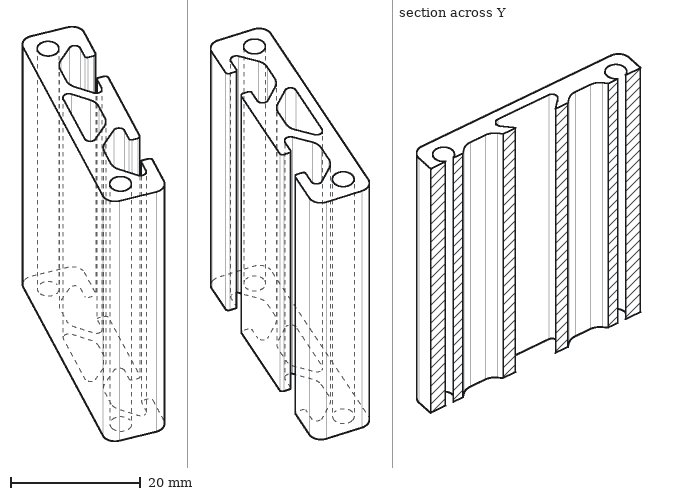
import cadquery as cq

width = 40.0
thickness = 10.0
length = 50.0
corner_radius = 2.0

slot_offset = width / 4
slot_opening = 4.9
lip_thickness = 1.8
lip_outer_radius = 0.5
lip_inner_radius = 0.35

trapezoid_height = 4.55
narrow_half_width = 2.45
wide_half_width = narrow_half_width + trapezoid_height
narrow_corner_radius = 2.5
wide_corner_radius = 0.9

back_wall = 1.8
bore_diameter = 3.35
bore_inset_x = 3.6
bore_inset_y = 3.5

back_y = -thickness / 2
front_y = thickness / 2


def trapezoid_prism(center_x, wide_y, direction):
    """Rounded trapezoid through the full length, narrowing along Y in the given direction (+1 or -1)."""
    narrow_y = wide_y + direction * trapezoid_height
    prism = (
        cq.Workplane("XY")
        .polyline([
            (center_x - wide_half_width, wide_y),
            (center_x + wide_half_width, wide_y),
            (center_x + narrow_half_width, narrow_y),
            (center_x - narrow_half_width, narrow_y),
        ])
        .close()
        .extrude(length)
    )
    wide_side, narrow_side = ("<Y", ">Y") if direction > 0 else (">Y", "<Y")
    prism = prism.edges("|Z").edges(wide_side).fillet(wide_corner_radius)
    return prism.edges("|Z").edges(narrow_side).fillet(narrow_corner_radius)


def lip_edges(body, y):
    """Long edges of both slot openings at the given Y."""
    points = [
        (center_x + side * slot_opening / 2, y, length / 2)
        for center_x in (-slot_offset, slot_offset)
        for side in (-1, 1)
    ]
    edges = [body.edges(cq.selectors.NearestToPointSelector(point)).val() for point in points]
    return body.newObject(edges)


profile = cq.Workplane("XY").rect(width, thickness).extrude(length)
profile = profile.edges("|Z").fillet(corner_radius)

lip_inner_y = front_y - lip_thickness
for slot_x in (-slot_offset, slot_offset):
    channel = trapezoid_prism(slot_x, lip_inner_y, -1)
    opening = (
        cq.Workplane("XY")
        .center(slot_x, front_y - lip_thickness / 2)
        .rect(slot_opening, lip_thickness)
        .extrude(length)
    )
    profile = profile.cut(channel).cut(opening)

profile = lip_edges(profile, front_y).fillet(lip_outer_radius)
profile = lip_edges(profile, lip_inner_y).fillet(lip_inner_radius)

profile = profile.cut(trapezoid_prism(0, back_y + back_wall, 1))

bore_x = width / 2 - bore_inset_x
bores = (
    cq.Workplane("XY")
    .pushPoints([(-bore_x, back_y + bore_inset_y), (bore_x, back_y + bore_inset_y)])
    .circle(bore_diameter / 2)
    .extrude(length)
)
result = profile.cut(bores)